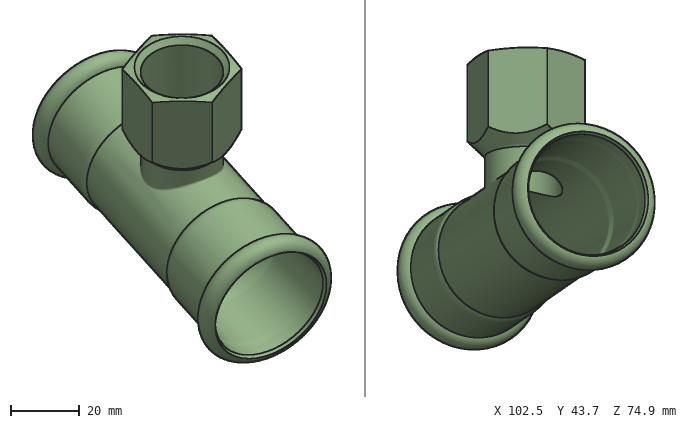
import cadquery as cq
import math

run_length = 102.5
half_length = run_length / 2
body_od = 37.0
body_bore = 34.0
socket_od = 38.4
socket_bore = 35.4
step_inner_x = 23.1
step_outer_x = 25.2

bead_od = 43.7
bead_width = 7.2
mouth_diameter = 37.3
flare_end_diameter = 36.1
flare_end_depth = 1.0
seal_seat_diameter = 35.8
seal_seat_start_depth = 1.7
seal_seat_end_depth = 5.3
seat_taper_diameter = 35.6
seat_taper_depth = 6.0
socket_start_depth = 7.1

neck_od = 24.0
neck_bore = 21.0
neck_fillet = 0.6
branch_top = 53.0
hex_sides = 6
hex_across_flats = 30.0
hex_across_corners = hex_across_flats / math.cos(math.pi / hex_sides)
collar_bottom = 24.5
collar_diameter = 24.8
collar_blend_height = 0.6
top_face_diameter = 28.3
top_corner_drop = 0.7
thread_bore = 24.0
thread_end = 29.7
mouth_chamfer_diameter = 27.6
mouth_chamfer_depth = (mouth_chamfer_diameter - thread_bore) / 2
drill_point_angle = 118
drill_taper_depth = (thread_bore - neck_bore) / 2 / math.tan(math.radians(drill_point_angle / 2))


def run_outside():
    """Solid outer form: body, widened sockets and rounded beads."""
    bead_middle_x = half_length - bead_width / 2
    socket_r = socket_od / 2
    half = (
        cq.Workplane("XY")
        .moveTo(0, 0)
        .lineTo(half_length, 0)
        .lineTo(half_length, mouth_diameter / 2)
        .threePointArc((bead_middle_x, bead_od / 2), (half_length - bead_width, socket_r))
        .lineTo(step_outer_x, socket_r)
        .tangentArcPoint((step_inner_x, body_od / 2), relative=False)
        .lineTo(0, body_od / 2)
        .close()
        .revolve(360, (0, 0, 0), (-1, 0, 0))
    )
    return half.union(half.mirror("YZ"))


def run_cavity():
    """Through bore with socket counterbores, seal seats and flared mouths."""
    socket = (
        cq.Workplane("XY")
        .moveTo(step_inner_x, 0)
        .lineTo(step_inner_x, body_bore / 2)
        .lineTo(step_outer_x, socket_bore / 2)
        .lineTo(half_length - socket_start_depth, socket_bore / 2)
        .lineTo(half_length - seat_taper_depth, seat_taper_diameter / 2)
        .lineTo(half_length - seal_seat_end_depth, seal_seat_diameter / 2)
        .lineTo(half_length - seal_seat_start_depth, seal_seat_diameter / 2)
        .lineTo(half_length - flare_end_depth, flare_end_diameter / 2)
        .lineTo(half_length, mouth_diameter / 2)
        .lineTo(half_length, 0)
        .close()
        .revolve(360, (0, 0, 0), (1, 0, 0))
    )
    through_bore = cq.Workplane("YZ").circle(body_bore / 2).extrude(half_length, both=True)
    return through_bore.union(socket).union(socket.mirror("YZ"))


def hex_head():
    """Hexagon with corners on +/-X, turned to a 45 degree cone below and a shallow one on top."""
    corner_r = hex_across_corners / 2
    collar_r = collar_diameter / 2
    prism = (
        cq.Workplane("XY", origin=(0, 0, collar_bottom - collar_blend_height))
        .polygon(hex_sides, hex_across_corners)
        .extrude(branch_top - collar_bottom + collar_blend_height)
    )
    turned = (
        cq.Workplane("XZ")
        .moveTo(0, collar_bottom - collar_blend_height)
        .lineTo(neck_od / 2, collar_bottom - collar_blend_height)
        .lineTo(collar_r, collar_bottom)
        .lineTo(corner_r, collar_bottom + corner_r - collar_r)
        .lineTo(corner_r, branch_top - top_corner_drop)
        .lineTo(top_face_diameter / 2, branch_top)
        .lineTo(0, branch_top)
        .close()
        .revolve(360, (0, 0, 0), (0, 1, 0))
    )
    return prism.intersect(turned)


def branch_cavity():
    """Thread bore with chamfered mouth, tapering to the neck bore that opens into the run."""
    thread_r = thread_bore / 2
    return (
        cq.Workplane("XZ")
        .lineTo(neck_bore / 2, 0)
        .lineTo(neck_bore / 2, thread_end - drill_taper_depth)
        .lineTo(thread_r, thread_end)
        .lineTo(thread_r, branch_top - mouth_chamfer_depth)
        .lineTo(mouth_chamfer_diameter / 2, branch_top)
        .lineTo(0, branch_top)
        .close()
        .revolve(360, (0, 0, 0), (0, 1, 0))
    )


neck = cq.Workplane("XY").circle(neck_od / 2).extrude(collar_bottom)
tee = run_outside().union(neck)

saddle_margin = 0.5
saddle_box = cq.selectors.BoxSelector(
    (-neck_od, -neck_od, saddle_margin), (neck_od, neck_od, body_od / 2 + saddle_margin)
)
tee = tee.edges(saddle_box).edges("not %CIRCLE").edges("not %LINE").fillet(neck_fillet)
result = tee.union(hex_head()).cut(run_cavity()).cut(branch_cavity())